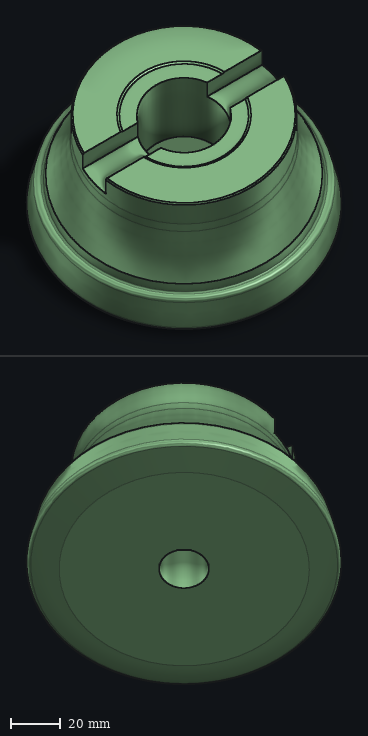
import cadquery as cq
import math

total_height = 63.5
joint_z = 24.0
joint_radius = 55.7

base_flat_radius = 50.4
base_corner_radius = 63.9
base_corner_z = 3.2
base_corner_round = 2.2
base_hole_diameter = 20.0
side_taper = math.radians(11.5)
crown_round = 2.3
crown_center_radius = 58.5
crown_center_z = 17.8
crown_end_angle = math.radians(110)
collar_foot_radius = 56.7
collar_foot_z = 20.3

flare_middle_radius = 49.3
flare_middle_z = 35.3
flare_top_radius = 46.0
flare_top_z = 46.1
neck_z = 50.4
neck_radius = 45.5
rim_chamfer = 0.6
bore_diameter = 38.0

recess_top_radius = 27.0
recess_floor_radius = 26.0
recess_depth = 0.5
slot_width = 15.7
slot_depth = 9.8


def crown_point(angle):
    """Point on the rounded crown, at an angle measured from the outward radius."""
    return (
        crown_center_radius + crown_round * math.cos(angle),
        crown_center_z + crown_round * math.sin(angle),
    )


def make_base():
    """Tapered disc with a coned underside, rounded rim, collar and central hole."""
    crown_middle_angle = (side_taper + crown_end_angle) / 2
    base = (
        cq.Workplane("XZ")
        .moveTo(0, 0)
        .lineTo(base_flat_radius, 0)
        .lineTo(base_corner_radius, base_corner_z)
        .lineTo(*crown_point(side_taper))
        .threePointArc(crown_point(crown_middle_angle), crown_point(crown_end_angle))
        .tangentArcPoint((collar_foot_radius, collar_foot_z), relative=False)
        .lineTo(joint_radius, joint_z)
        .lineTo(0, joint_z)
        .close()
        .revolve(360, (0, 0, 0), (0, 1, 0))
    )
    lower_corner = cq.selectors.RadiusNthSelector(-1)
    base = base.edges(lower_corner).fillet(base_corner_round)
    return base.faces(">Z").workplane().hole(base_hole_diameter)


def make_hub():
    """Flared hub standing on the base, with bore, recess and cross slot."""
    hub = (
        cq.Workplane("XZ")
        .moveTo(0, joint_z)
        .lineTo(joint_radius, joint_z)
        .threePointArc((flare_middle_radius, flare_middle_z), (flare_top_radius, flare_top_z))
        .lineTo(neck_radius, neck_z)
        .lineTo(neck_radius, total_height)
        .lineTo(0, total_height)
        .close()
        .revolve(360, (0, 0, 0), (0, 1, 0))
    )
    hub = hub.faces(">Z").edges().chamfer(rim_chamfer)
    hub = hub.faces(">Z").workplane().hole(bore_diameter)

    recess = (
        cq.Workplane("XY", origin=(0, 0, total_height))
        .circle(recess_top_radius)
        .workplane(offset=-recess_depth)
        .circle(recess_floor_radius)
        .loft(ruled=True)
    )
    slot = (
        cq.Workplane("XY", origin=(0, 0, total_height - slot_depth))
        .rect(slot_width, 2 * joint_radius)
        .extrude(slot_depth)
    )
    return hub.cut(recess).cut(slot)


base = make_base()
hub = make_hub()

result = cq.Compound.makeCompound([base.val(), hub.val()])